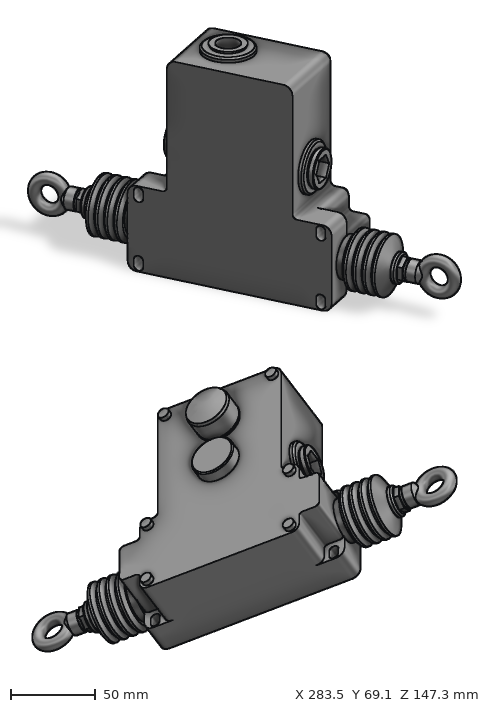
import cadquery as cq
import math


OVERALL_LENGTH = 283.5
OVERALL_DEPTH = 69.08
OVERALL_HEIGHT = 147.25

HOUSING_DEPTH = 51.2
TOWER_WIDTH = 82.6
TOWER_TOP = 142.4
TOWER_CORNER_RADIUS = 6.0
TOWER_FOOT_RADIUS = 3.0
BASE_WIDTH = 134.0
BASE_HEIGHT = 56.0
BASE_CORNER_RADIUS = 6.0
PLATE_DEPTH = 20.0
ROPE_Y = PLATE_DEPTH
ROPE_Z = BASE_HEIGHT / 2

STEP_WIDTH = 13.6
STEP_HEIGHT = 14.0
STEP_TOP_RADIUS = 5.2
STEP_INNER_RADIUS = 2.6
STEP_OUTER_RADIUS = 3.4

SLOT_WIDTH = 6.2
SLOT_LENGTH = 9.6
SLOT_X = 59.8
SLOT_EDGE_DISTANCE = 5.6

SCREW_DIAMETER = 7.2
SCREW_HEAD_HEIGHT = 3.2
BASE_SCREW_X = 47.7
BASE_SCREW_EDGE_DISTANCE = 5.2
TOP_SCREW_X = 35.9
TOP_SCREW_EDGE_DISTANCE = 6.0

FLANGE_RADIUS = 16.8
FLANGE_THICKNESS = 3.2
FLANGE_CHAMFER = 1.2
ENTRY_X = -14.4
ENTRY_Y = 27.5
ENTRY_RIM_RADIUS = 11.7
ENTRY_ROOT_RADIUS = 10.9
ENTRY_BORE_RADIUS = 7.7
ENTRY_BORE_DEPTH = 9.0
PLUG_Y = 24.2
PLUG_Z = 79.8
PLUG_HEIGHT = 8.0
PLUG_HEAD_RADIUS = 12.5
PLUG_HEAD_CHAMFER = 0.6
PLUG_NECK_RADIUS = 11.5
PLUG_NECK_LENGTH = 0.8
SOCKET_ACROSS_FLATS = 15.0
SOCKET_DEPTH = 8.0

LAMP_Z = 79.2
LAMP_RADIUS = 14.0
LAMP_HEIGHT = 9.4
LAMP_CHAMFER = 0.8
LAMP_NECK_RADIUS = 10.8

BUTTON_Z = 114.0
BUTTON_RADIUS = 14.3
BUTTON_HEIGHT = OVERALL_DEPTH - HOUSING_DEPTH
BUTTON_DOME_HEIGHT = 1.4
BUTTON_EDGE = 0.7
BUTTON_EDGE_LENGTH = 2.0
BUTTON_NECK_RADIUS = 13.8
REAR_NECK_LENGTH = 1.5

BELLOWS_NECK_RADIUS = 13.9
BELLOWS_NECK_LENGTH = 5.0
BELLOWS_PITCH = 6.3
BELLOWS_FOLDS = 4
BELLOWS_PEAK_RADIUS = 19.2
BELLOWS_PEAK_WIDTH = 1.6
BELLOWS_VALLEY_RADIUS = 16.2
BELLOWS_TIP_RADIUS = 9.3
BELLOWS_CONE_LENGTH = 6.3
COLLAR_RADIUS = 9.8
COLLAR_LENGTH = 2.1
COLLAR_CHAMFER = 1.2

NUT_ACROSS_FLATS = 14.2
NUT_LENGTH = 3.4
GROOVE_RADIUS = 6.3
GROOVE_LENGTH = 1.8
SHANK_RADIUS = 7.1
SHANK_LENGTH = 9.7
SHANK_CHAMFER = 3.2
EYE_OUTER_RADIUS = 14.0
EYE_WIRE_RADIUS = 4.0

COLLAR_START = BELLOWS_NECK_LENGTH + (BELLOWS_FOLDS - 0.5) * BELLOWS_PITCH + BELLOWS_CONE_LENGTH
NUT_START = COLLAR_START + COLLAR_LENGTH + COLLAR_CHAMFER
GROOVE_START = NUT_START + NUT_LENGTH
SHANK_START = GROOVE_START + GROOVE_LENGTH
EYE_CENTRE = (OVERALL_LENGTH - BASE_WIDTH) / 2 - EYE_OUTER_RADIUS
EYE_RING_RADIUS = EYE_OUTER_RADIUS - EYE_WIRE_RADIUS


def extrude_along_y(outline, start, end):
    """Extrude an XZ-plane outline between two Y positions."""
    return outline.extrude(start - end).translate((0, start, 0))


def make_housing_block():
    """Tower on a wide base, with stepped corners behind the mounting plate."""
    tower = cq.Workplane("XY").box(TOWER_WIDTH, HOUSING_DEPTH, TOWER_TOP, centered=(True, False, False))
    tower = tower.edges("|Y and >Z").fillet(TOWER_CORNER_RADIUS)

    plate = cq.Workplane("XY").box(BASE_WIDTH, PLATE_DEPTH, BASE_HEIGHT, centered=(True, False, False))
    plate = plate.edges("|Y").fillet(BASE_CORNER_RADIUS)

    rear_depth = HOUSING_DEPTH - PLATE_DEPTH
    inner_width = BASE_WIDTH - 2 * STEP_WIDTH
    arm_height = BASE_HEIGHT - 2 * STEP_HEIGHT
    inner = cq.Workplane("XY").box(inner_width, rear_depth, BASE_HEIGHT)
    inner = inner.edges("|Y").fillet(STEP_TOP_RADIUS)
    arms = cq.Workplane("XY").box(BASE_WIDTH, rear_depth, arm_height)
    arms = arms.edges("|Y").fillet(STEP_OUTER_RADIUS)
    margin = STEP_INNER_RADIUS / 10
    step_roots = cq.selectors.BoxSelector(
        (-inner_width / 2 - margin, -rear_depth, -arm_height / 2 - margin),
        (inner_width / 2 + margin, rear_depth, arm_height / 2 + margin),
    )
    rear = inner.union(arms).edges("|Y").edges(step_roots).fillet(STEP_INNER_RADIUS)
    rear = rear.translate((0, PLATE_DEPTH + rear_depth / 2, ROPE_Z))

    block = tower.union(plate).union(rear)
    for side in (-1, 1):
        block = block.union(make_tower_foot(side))
    return block


def make_tower_foot(side):
    """Concave fillet between the tower's side wall and the top of the base."""
    half_tower = TOWER_WIDTH / 2
    radius = TOWER_FOOT_RADIUS
    middle = radius * (1 - math.sqrt(0.5))
    foot = (
        cq.Workplane("XZ")
        .moveTo(side * half_tower, BASE_HEIGHT)
        .lineTo(side * (half_tower + radius), BASE_HEIGHT)
        .threePointArc(
            (side * (half_tower + middle), BASE_HEIGHT + middle),
            (side * half_tower, BASE_HEIGHT + radius),
        )
        .close()
    )
    return extrude_along_y(foot, 0, HOUSING_DEPTH)


def make_mounting_slots():
    """Four upright slots through the mounting plate."""
    heights = (SLOT_EDGE_DISTANCE, BASE_HEIGHT - SLOT_EDGE_DISTANCE)
    centres = [(x, z) for x in (-SLOT_X, SLOT_X) for z in heights]
    slots = cq.Workplane("XZ").pushPoints(centres).slot2D(SLOT_LENGTH, SLOT_WIDTH, 90)
    return extrude_along_y(slots, 0, PLATE_DEPTH)


def make_screw_heads():
    """Six cover screw heads on the rear face."""
    heights = (BASE_SCREW_EDGE_DISTANCE, BASE_HEIGHT - BASE_SCREW_EDGE_DISTANCE)
    top = TOWER_TOP - TOP_SCREW_EDGE_DISTANCE
    centres = [(x, z) for x in (-BASE_SCREW_X, BASE_SCREW_X) for z in heights]
    centres += [(x, top) for x in (-TOP_SCREW_X, TOP_SCREW_X)]
    heads = cq.Workplane("XZ").pushPoints(centres).circle(SCREW_DIAMETER / 2)
    return extrude_along_y(heads, HOUSING_DEPTH, HOUSING_DEPTH + SCREW_HEAD_HEIGHT)


def make_flange():
    """Chamfered round flange standing on the XY plane."""
    disc = cq.Workplane("XY").circle(FLANGE_RADIUS).extrude(FLANGE_THICKNESS)
    return disc.faces(">Z").chamfer(FLANGE_CHAMFER)


def make_cable_entry():
    """Flange with an outward-flaring rim, on top of the tower."""
    height = OVERALL_HEIGHT - TOWER_TOP
    rim = (
        cq.Workplane("XZ")
        .polyline([(0, 0), (ENTRY_ROOT_RADIUS, 0), (ENTRY_ROOT_RADIUS, FLANGE_THICKNESS),
                   (ENTRY_RIM_RADIUS, height), (0, height)])
        .close()
        .revolve(360, (0, 0), (0, 1))
    )
    return make_flange().union(rim).translate((ENTRY_X, ENTRY_Y, TOWER_TOP))


def make_cable_bore():
    """Blind bore of the cable entry."""
    bore = cq.Workplane("XY").circle(ENTRY_BORE_RADIUS).extrude(-ENTRY_BORE_DEPTH)
    return bore.translate((ENTRY_X, ENTRY_Y, OVERALL_HEIGHT))


def make_side_plug(side):
    """Blanking plug with a hexagon socket, on one side wall of the tower."""
    head_start = FLANGE_THICKNESS + PLUG_NECK_LENGTH
    neck = cq.Workplane("XY").circle(PLUG_NECK_RADIUS).extrude(head_start)
    head = cq.Workplane("XY").circle(PLUG_HEAD_RADIUS).extrude(PLUG_HEIGHT - head_start)
    head = head.edges().chamfer(PLUG_HEAD_CHAMFER).translate((0, 0, head_start))
    corner_diameter = SOCKET_ACROSS_FLATS / math.cos(math.pi / 6)
    socket = cq.Workplane("XY").polygon(6, corner_diameter).extrude(-SOCKET_DEPTH)
    socket = socket.rotate((0, 0, 0), (0, 0, 1), 90).translate((0, 0, PLUG_HEIGHT))
    plug = make_flange().union(neck).union(head).cut(socket)
    plug = plug.rotate((0, 0, 0), (0, 1, 0), side * 90)
    return plug.translate((side * TOWER_WIDTH / 2, PLUG_Y, PLUG_Z))


def make_lamp():
    """Flat round lamp on a narrower neck, on the rear face."""
    neck = cq.Workplane("XZ").circle(LAMP_NECK_RADIUS)
    neck = extrude_along_y(neck, 0, REAR_NECK_LENGTH)
    head = cq.Workplane("XZ").circle(LAMP_RADIUS)
    head = extrude_along_y(head, REAR_NECK_LENGTH, LAMP_HEIGHT).faces(">Y").chamfer(LAMP_CHAMFER)
    return neck.union(head).translate((0, HOUSING_DEPTH, LAMP_Z))


def make_bellows():
    """Collar and folded boot along +X, starting at the end wall of the base."""
    first_peak = BELLOWS_NECK_LENGTH + BELLOWS_PITCH / 2
    outline = [
        (0, 0),
        (0, BELLOWS_NECK_RADIUS),
        (BELLOWS_NECK_LENGTH, BELLOWS_NECK_RADIUS),
        (BELLOWS_NECK_LENGTH, BELLOWS_VALLEY_RADIUS),
    ]
    for fold in range(BELLOWS_FOLDS):
        peak = first_peak + fold * BELLOWS_PITCH
        outline.append((peak - BELLOWS_PEAK_WIDTH / 2, BELLOWS_PEAK_RADIUS))
        outline.append((peak + BELLOWS_PEAK_WIDTH / 2, BELLOWS_PEAK_RADIUS))
        if fold < BELLOWS_FOLDS - 1:
            outline.append((peak + BELLOWS_PITCH / 2, BELLOWS_VALLEY_RADIUS))
    outline += [
        (COLLAR_START, BELLOWS_TIP_RADIUS),
        (COLLAR_START, COLLAR_RADIUS),
        (NUT_START - COLLAR_CHAMFER, COLLAR_RADIUS),
        (NUT_START, COLLAR_RADIUS - COLLAR_CHAMFER),
        (NUT_START, 0),
    ]
    return cq.Workplane("XY").polyline(outline).close().revolve(360, (0, 0), (1, 0))


def make_eye_bolt():
    """Hexagon nut, grooved shank and upright eye along +X."""
    corner_diameter = NUT_ACROSS_FLATS / math.cos(math.pi / 6)
    nut = cq.Workplane("YZ").polygon(6, corner_diameter).extrude(NUT_LENGTH)
    nut = nut.rotate((0, 0, 0), (1, 0, 0), 90).translate((NUT_START, 0, 0))
    groove = cq.Workplane("YZ").circle(GROOVE_RADIUS).extrude(GROOVE_LENGTH).translate((GROOVE_START, 0, 0))
    shank = cq.Workplane("YZ").circle(SHANK_RADIUS).extrude(SHANK_LENGTH)
    shank = shank.faces(">X").chamfer(SHANK_CHAMFER).translate((SHANK_START, 0, 0))
    eye = cq.Workplane(
        cq.Solid.makeTorus(EYE_RING_RADIUS, EYE_WIRE_RADIUS, cq.Vector(EYE_CENTRE, 0, 0), cq.Vector(0, 1, 0))
    )
    return nut.union(groove).union(shank).union(eye)


def make_rope_end(side):
    """Bellows and eye bolt at one end of the base."""
    rope_end = make_bellows().union(make_eye_bolt())
    if side < 0:
        rope_end = rope_end.rotate((0, 0, 0), (0, 0, 1), 180)
    return rope_end.translate((side * BASE_WIDTH / 2, ROPE_Y, ROPE_Z))


def make_switch():
    """Housing with its screws, plugs, cable entry, lamp and both rope ends."""
    switch = make_housing_block().cut(make_mounting_slots())
    switch = switch.union(make_screw_heads()).union(make_lamp())
    switch = switch.union(make_cable_entry()).cut(make_cable_bore())
    for side in (-1, 1):
        switch = switch.union(make_side_plug(side)).union(make_rope_end(side))
    return switch


def make_reset_button():
    """Domed button on a slightly narrower neck, seated on the rear face."""
    edge_height = BUTTON_HEIGHT - BUTTON_DOME_HEIGHT
    rim_radius = BUTTON_RADIUS - BUTTON_EDGE
    dome_radius = (rim_radius**2 + BUTTON_DOME_HEIGHT**2) / (2 * BUTTON_DOME_HEIGHT)
    mid_radius = rim_radius / 2
    mid_height = BUTTON_HEIGHT - dome_radius + math.sqrt(dome_radius**2 - mid_radius**2)
    button = (
        cq.Workplane("XY")
        .polyline([(0, 0), (BUTTON_NECK_RADIUS, 0), (BUTTON_NECK_RADIUS, REAR_NECK_LENGTH),
                   (BUTTON_RADIUS, REAR_NECK_LENGTH), (BUTTON_RADIUS, edge_height - BUTTON_EDGE_LENGTH),
                   (rim_radius, edge_height)])
        .threePointArc((mid_radius, mid_height), (0, BUTTON_HEIGHT))
        .close()
        .revolve(360, (0, 0), (0, 1))
    )
    return button.translate((0, HOUSING_DEPTH, BUTTON_Z))


switch = make_switch()
reset_button = make_reset_button()
result = cq.Compound.makeCompound([switch.val(), reset_button.val()])